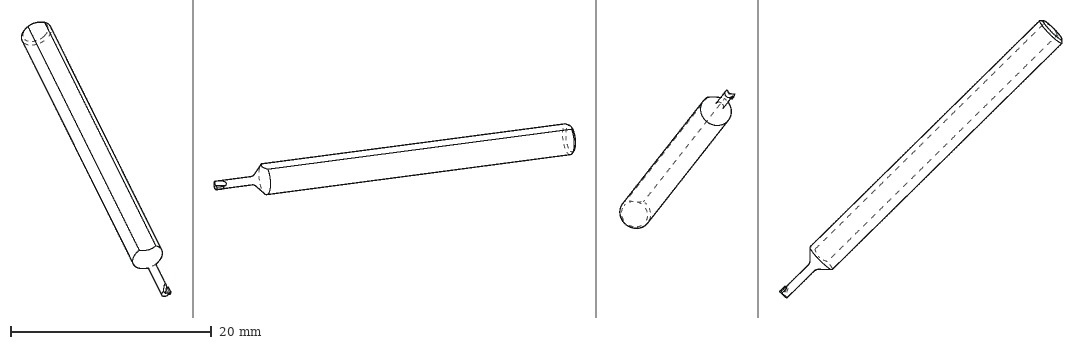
import cadquery as cq
import math

overall_length = 38.1
shank_radius = 3.175 / 2
flat_height = 2.91 - shank_radius
rear_chamfer = 0.25
shank_length = 32.75

neck_radius = 0.43
neck_fillet = 0.6
cone_angle = math.radians(45)
cone_end = shank_length + (shank_radius - neck_radius) / math.tan(cone_angle)
fillet_setback = neck_fillet * math.tan(cone_angle / 2)

tip_y = 0.56
tip_relief = 0.08
neck_end = overall_length - tip_relief
tooth_length = 0.78
tooth_depth = 0.3

pocket_back = overall_length - 0.98
pocket_skew = 27
pocket_wall_lean = 25
pocket_clearance = 0.3


def make_revolved_blank():
    """Shank, cone, neck fillet and neck turned about the X axis."""
    cone_tangent_x = cone_end - fillet_setback * math.cos(cone_angle)
    cone_tangent_r = neck_radius + fillet_setback * math.sin(cone_angle)
    neck_start = cone_end + fillet_setback
    arc_angle = cone_angle / 2
    arc_mid_x = neck_start - neck_fillet * math.sin(arc_angle)
    arc_mid_r = neck_radius + neck_fillet * (1 - math.cos(arc_angle))
    return (
        cq.Workplane("XZ")
        .moveTo(0, 0)
        .lineTo(0, shank_radius - rear_chamfer)
        .lineTo(rear_chamfer, shank_radius)
        .lineTo(shank_length, shank_radius)
        .lineTo(cone_tangent_x, cone_tangent_r)
        .threePointArc((arc_mid_x, arc_mid_r), (neck_start, neck_radius))
        .lineTo(neck_end, neck_radius)
        .lineTo(neck_end, 0)
        .close()
        .revolve(360, (0, 0, 0), (1, 0, 0))
    )


def make_flat_cutter():
    """Block that removes everything above the clamping flat."""
    return cq.Workplane("XY").workplane(offset=flat_height).box(
        2 * overall_length, 4 * shank_radius, shank_radius, centered=(True, True, False)
    )


def tooth_outline(plane, relief):
    """Tooth section, drawn back from its front and side edges by the relief."""
    back_x = overall_length - tooth_length
    return (
        plane.moveTo(back_x, 0)
        .lineTo(back_x, tip_y - relief)
        .lineTo(overall_length - relief, tip_y - relief)
        .lineTo(neck_end - relief, 0)
        .close()
    )


def make_tooth():
    """Tooth below the rake face, narrowing downward for clearance."""
    top = tooth_outline(cq.Workplane("XY"), 0)
    return tooth_outline(top.workplane(offset=-tooth_depth), tip_relief).loft(ruled=True)


def make_pocket_cutter():
    """Space above the rake face, bounded by one skewed and leaning wall behind the tooth."""
    front_x = overall_length + pocket_clearance
    outer_y = neck_radius + pocket_clearance
    skew_slope = math.tan(math.radians(pocket_skew))
    return (
        cq.Workplane("XY")
        .moveTo(pocket_back - pocket_clearance / skew_slope, outer_y)
        .lineTo(front_x, neck_radius - (front_x - pocket_back) * skew_slope)
        .lineTo(front_x, outer_y)
        .close()
        .extrude(2 * neck_radius, taper=-pocket_wall_lean)
    )


result = (
    make_revolved_blank()
    .cut(make_flat_cutter())
    .union(make_tooth())
    .cut(make_pocket_cutter())
)